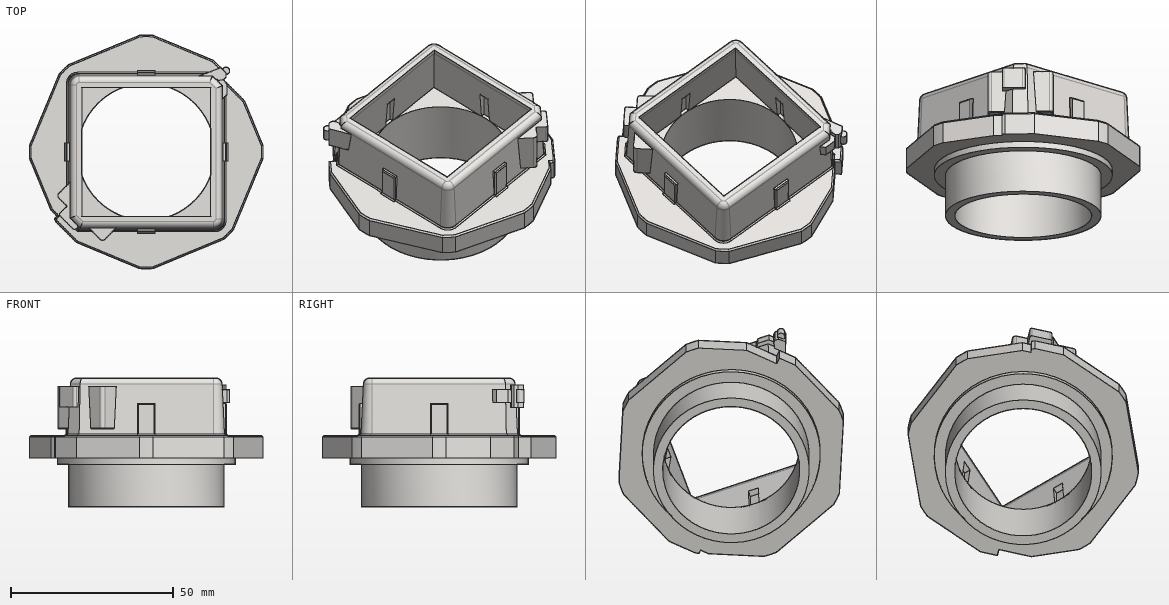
import cadquery as cq
import math

collar_z = 13.1
flange_z = 15.0
deck_z = 21.95
total_height = 39.7

tube_radius = 24.0
collar_radius = 27.4
bore_radius = 21.1

flange_radius = 36.0
octagon_sides = 8
octagon_tip_radius = 36.8
flange_edge = 0.5
flat_front = 34.9
flat_front_step = 33.4
front_step_place = -5.5
flat_back = 34.55
flat_back_step = 32.55
back_step_place = 0.0

housing_base = 24.1
housing_draft = 2.7
housing_corner = 3.45
rim_fillet = 1.95
skirt_size = 0.4
skirt_draft = 45.0

opening_half = 19.8
cavity_half = 21.0
lip_height = 1.4

tab_half_width = 2.7
tab_root = 22.9
tab_reach = 24.7
tab_top_z = 31.9
tab_edge = 0.35
tab_slot_width = 3.25
tab_slot_reach = 22.2

rib_offset = 13.45
rib_crest = 27.65
rib_root = 22.3
rib_bottom_z = 24.0
latch_top_z = 37.1
rib_round = 1.1
rib_edge = 0.3

key_front = 32.7
key_back = 28.8
key_bottom_z = 30.8
key_start = -5.5
key_end = 1.6
key_round = 0.8
key_small_round = 0.6

hook_bottom_z = 30.5
hook_top_z = 37.6
nose_bottom_z = 32.1
nose_top_z = 36.1
nose_radius = 1.15
nose_center = (24.55, 25.0)
hook_outline = [
    (16.2, 23.4),
    (23.05, 26.0),
    (24.6, 24.2),
    (24.6, 23.05),
    (24.0, 22.3),
    (21.95, 21.95),
    (21.95, 22.3),
    (16.2, 22.3),
]
pad_outline = [
    (22.3, 15.85),
    (23.5, 16.35),
    (24.85, 17.6),
    (24.85, 21.1),
    (22.9, 23.1),
    (21.6, 21.6),
]


def prism(points, bottom, top):
    """Upright prism over a closed outline."""
    return cq.Workplane("XY").workplane(offset=bottom).polyline(points).close().extrude(top - bottom)


def diagonal_box(near, far, start, end, bottom, top):
    """Upright box turned 45 degrees; near and far run towards (+X, +Y), start and end towards (+X, -Y)."""
    corners = [(near, -start), (far, -start), (far, -end), (near, -end)]
    return prism(corners, bottom, top).rotate((0, 0, 0), (0, 0, 1), 45)


def drafted_square(half_width, height, draft_angle, corner=0.0):
    """Drafted square block on the deck; a corner size cuts two opposite corners and rounds the others."""
    outline = cq.Sketch().rect(2 * half_width, 2 * half_width)
    if corner:
        outline = (
            outline.vertices("<(1, 1, 0) or >(1, 1, 0)").chamfer(corner)
            .reset().vertices("<(1, -1, 0) or >(1, -1, 0)").fillet(corner)
            .reset()
        )
    return cq.Workplane("XY").workplane(offset=deck_z).placeSketch(outline).extrude(height, taper=draft_angle)


def flange():
    height = deck_z - flange_z
    underside = cq.Workplane("XY").workplane(offset=flange_z)
    octagon = underside.polygon(octagon_sides, 2 * octagon_tip_radius).extrude(height)
    disc = cq.Workplane("XY").workplane(offset=flange_z).circle(flange_radius).extrude(height)
    body = octagon.intersect(disc.rotate((0, 0, 0), (0, 0, 1), 180 / octagon_sides))
    beyond = 2 * flange_radius
    cuts = [
        (-beyond, -flat_front, -beyond, beyond),
        (-beyond, -flat_front_step, -beyond, front_step_place),
        (flat_back, beyond, -beyond, beyond),
        (flat_back_step, beyond, back_step_place, beyond),
    ]
    for near, far, start, end in cuts:
        body = body.cut(diagonal_box(near, far, start, end, flange_z, deck_z))
    return body.faces(">Z").edges().chamfer(flange_edge)


def housing():
    walls = drafted_square(housing_base, total_height - deck_z, housing_draft, housing_corner)
    walls = walls.faces(">Z").edges().fillet(rim_fillet)
    skirt = drafted_square(housing_base + skirt_size, skirt_size, skirt_draft, housing_corner)
    return walls.union(skirt)


def cavity():
    depth = total_height - lip_height - deck_z
    draft = math.degrees(math.atan((cavity_half - opening_half) / depth))
    opening = (
        cq.Workplane("XY").workplane(offset=deck_z)
        .rect(2 * opening_half, 2 * opening_half).extrude(total_height - deck_z)
    )
    return drafted_square(cavity_half, depth, draft).union(opening)


def around(solid):
    """Four copies of a solid, one for each wall."""
    copies = solid
    for turn in (90, 180, 270):
        copies = copies.union(solid.rotate((0, 0, 0), (0, 0, 1), turn))
    return copies


def tab():
    block = cq.Workplane("XY").box(
        tab_reach - tab_root, 2 * tab_half_width, tab_top_z - deck_z, centered=(False, True, False)
    ).translate((tab_root, 0, deck_z))
    block = block.faces(">X").edges("not <Z").chamfer(tab_edge)
    foot = (
        cq.Workplane("XZ").moveTo(tab_root, deck_z)
        .lineTo(tab_reach + skirt_size, deck_z).lineTo(tab_reach, deck_z + skirt_size)
        .lineTo(tab_root, deck_z + skirt_size).close().extrude(tab_half_width, both=True)
    )
    return block.union(foot)


def tab_slot():
    return cq.Workplane("XY").box(
        tab_slot_reach, tab_slot_width, tab_top_z - deck_z, centered=(False, True, False)
    ).translate((0, 0, deck_z))


def ribs():
    depth = rib_crest - rib_root
    outline = [
        (-rib_offset, -rib_crest),
        (-rib_offset + depth, -rib_root),
        (-rib_offset - depth, -rib_root),
    ]
    rib = prism(outline, rib_bottom_z, latch_top_z)
    rib = rib.edges("|Z and <Y").fillet(rib_round)
    rib = rib.faces("<Z").edges("not >Y").chamfer(rib_edge)
    twin = rib.mirror("YZ").rotate((0, 0, 0), (0, 0, 1), -90)
    return rib.union(twin)


def key_block():
    block = diagonal_box(-key_front, -key_back, key_start, key_end, key_bottom_z, latch_top_z)
    block = block.faces("<(1, 1, 0)").edges("<(1, -1, 0)").fillet(key_small_round)
    return block.faces("<(1, 1, 0)").edges(">(1, -1, 0)").fillet(key_round)


def hook():
    arm = prism(hook_outline, hook_bottom_z, hook_top_z)
    nose = cq.Workplane("XY").workplane(offset=nose_bottom_z).center(*nose_center)
    nose = nose.circle(nose_radius).extrude(nose_top_z - nose_bottom_z)
    pad = prism(pad_outline, nose_bottom_z, nose_top_z)
    return arm.union(nose).union(pad)


tube = cq.Workplane("XY").circle(tube_radius).extrude(deck_z)
collar = cq.Workplane("XY").workplane(offset=collar_z).circle(collar_radius).extrude(deck_z - collar_z)
bore = cq.Workplane("XY").circle(bore_radius).extrude(deck_z)

result = (
    flange()
    .union(tube)
    .union(collar)
    .union(housing())
    .union(around(tab()))
    .union(ribs())
    .union(key_block())
    .union(hook())
    .cut(cavity())
    .cut(around(tab_slot()))
    .cut(bore)
)